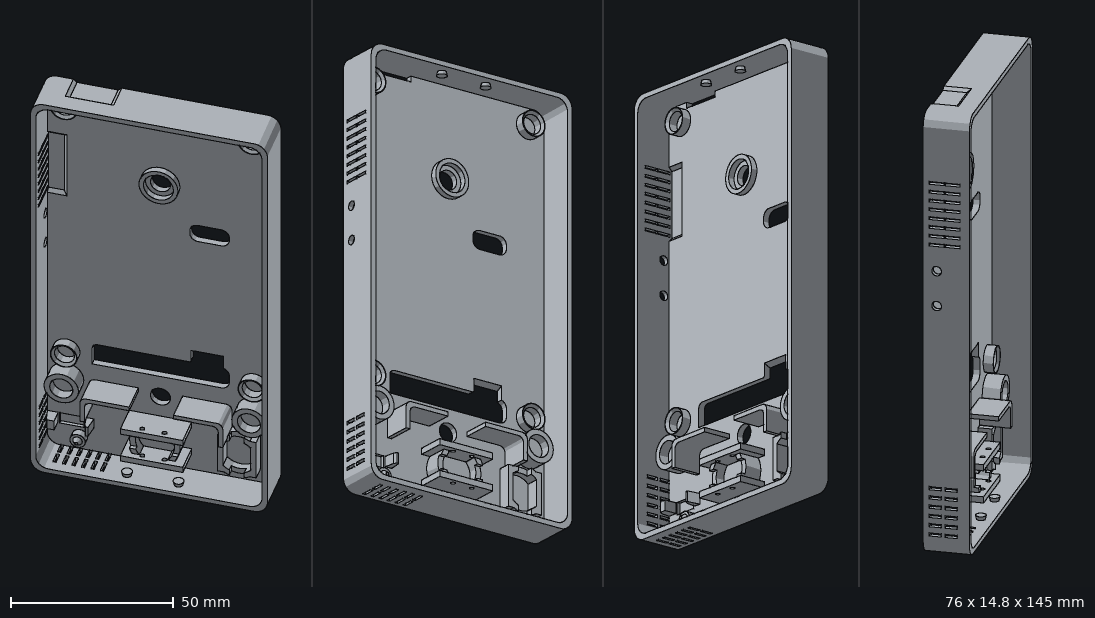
import cadquery as cq
WIDTH, DEPTH, HEIGHT = 76.0, 14.8, 145.0
WALL = 1.7
FLOOR = 2.3
OUTER_RADIUS = 4.4
INNER_RADIUS = 4.0
MOUTH_Y = -DEPTH / 2
BACK_Y = DEPTH / 2
FLOOR_Y = BACK_Y - FLOOR
INNER_X = WIDTH / 2 - WALL
INNER_Z = HEIGHT / 2 - WALL
TOP_Z = HEIGHT / 2

RECESS_BEVEL = 1.2
FLOOR_RECESS_DEPTH = 1.2
FLOOR_RECESS_X = -30.0
FLOOR_RECESS_Z = (27.8, 51.9)
TOP_RECESS_DEPTH = 1.0
TOP_RECESS_X = (-28.5, -13.0)
TOP_RECESS_LENGTH = 8.8

MOUNT_HOLE_DIAMETER = 6.4
MOUNT_HOLE_Z = (39.6, -44.5)
SLOT_X, SLOT_Z = (9.4, 22.0), (19.5, 25.7)
SLOT_RADIUS = 2.6
WINDOW_X, WINDOW_Z = (-21.9, 22.0), (-36.5, -28.7)
WINDOW_RIGHT_RADIUS = 2.6
WINDOW_LEFT_RADIUS = 1.7
KEYWAY_X, KEYWAY_TOP_Z = (9.9, 20.2), -24.0
KEYWAY_SLOPE = 1.2
KEYWAY_CORNER_RADIUS = 0.6
TOP_NOTCH_X, TOP_NOTCH_Z = (-27.7, -14.0), 68.9

CORNER_BOSS_X, CORNER_BOSS_Z = 30.09, (64.7, -32.9)
CORNER_BOSS_DIAMETER, CORNER_BOSS_HEIGHT = 8.5, 3.2
CORNER_MOUTH_DIAMETER, CORNER_BORE_DIAMETER = 8.3, 6.4
CORNER_CONE_DEPTH, CORNER_BORE_DEPTH = 0.9, 3.9
LARGE_BOSS_Z = -43.6
LARGE_BOSS_DIAMETER, LARGE_BOSS_HEIGHT = 11.0, 5.8
LARGE_BOSS_BORE, LARGE_BOSS_BORE_DEPTH = 7.4, 3.5
COLLAR_DIAMETER, COLLAR_BORE, COLLAR_HEIGHT = 12.5, 9.5, 2.2
PIN_X, PIN_Z = -25.8, -65.8
PIN_BASE_DIAMETER, PIN_BASE_HEIGHT = 5.0, 2.6
PIN_DIAMETER, PIN_TIP_DIAMETER, PIN_LENGTH = 3.0, 1.0, 1.5

RIB_X, RIB_TOP_Z, RIB_BOTTOM_Z = (7.1, 22.9), -42.6, -51.8
RIB_THICKNESS, RIB_HEIGHT, RIB_RADIUS = 1.5, 9.9, 2.0

RING_OUTER, RING_INNER = 16.2, 12.5
RING_NOTCH = 4.8
CENTRE_HOLDER_Z = -58.5
CENTRE_RING_HEIGHT, CENTRE_NOTCH_DEPTH, CENTRE_BASE_HEIGHT = 7.4, 1.5, 2.9
PLATE_LENGTH, PLATE_THICKNESS, PLATE_HEIGHT = 20.0, 2.0, 9.5
PLATE_GAP = 8.5
PLATE_HOLE_DIAMETER, PLATE_HOLE_X, PLATE_HOLE_Y = 1.5, 3.55, -2.5
SIDE_HOLDER_X, SIDE_HOLDER_Z = 25.8, -58.8
SIDE_HOLDER_WIDTH, SIDE_HOLDER_LENGTH, SIDE_HOLDER_HEIGHT = 12.5, 13.9, 4.5
SIDE_CAVITY_WIDTH, SIDE_NOTCH_DEPTH = 8.8, 2.2

CLIP_Z = (-61.6, -58.1)
LEFT_CLIP_X, RIGHT_CLIP_X = (-36.18, -32.8), (-23.8, -21.3)
LEFT_CLIP_TAPER, RIGHT_CLIP_TAPER = 0, 0.6
CLIP_HEIGHT, CLIP_SHOULDER_HEIGHT = 4.5, 3.5
CLIP_SHOULDER, CLIP_TIP_INSET = 0.6, 1.2
SEAT_X, SEAT_Z, SEAT_DEPTH = (-32.3, -24.5), (-62.2, -58.1), 1.2

BUMP_X, BUMP_Y = 8.3, -3.2
BUMP_BASE, BUMP_FACE, BUMP_HEIGHT = 2.8, 3.3, 1.3

UPPER_VENT_HEIGHT, LOWER_VENT_HEIGHT = 0.9, 1.0
VENT_BACK_Y = 5.5
VENT_SPLIT_Y = 0.5
UPPER_VENT_LENGTH, UPPER_VENT_COUNT, UPPER_VENT_PITCH = 4.8, 8, 2.9
LOWER_VENT_LENGTH, LOWER_VENT_COUNT, LOWER_VENT_PITCH = 3.9, 6, 3.0
UPPER_VENT_Z, LOWER_VENT_Z = 29.7, -65.7
BOTTOM_VENT_X = -31.5
SIDE_HOLE_DIAMETER, SIDE_HOLE_Y, SIDE_HOLE_Z = 3.0, 3.0, (9.7, 21.2)


def box(x_range, y_range, z_range):
    """Box spanning the given coordinate ranges."""
    size = [high - low for low, high in (x_range, y_range, z_range)]
    corner = cq.Vector(x_range[0], y_range[0], z_range[0])
    return cq.Workplane(cq.Solid.makeBox(*size, corner))


def rod(x, z, diameter, base_y, height):
    """Cylinder standing on the plane Y = base_y and rising toward the mouth."""
    return cq.Workplane(
        cq.Solid.makeCylinder(diameter / 2, height, cq.Vector(x, base_y, z), cq.Vector(0, -1, 0))
    )


def cone(x, z, base_diameter, tip_diameter, base_y, height):
    """Cone frustum standing on the plane Y = base_y and narrowing or widening toward the mouth."""
    base = cq.Vector(x, base_y, z)
    return cq.Workplane(
        cq.Solid.makeCone(base_diameter / 2, tip_diameter / 2, height, base, cq.Vector(0, -1, 0))
    )


def middle(span):
    return (span[0] + span[1]) / 2


def length(span):
    return span[1] - span[0]


def tray():
    outside = cq.Workplane("XZ").rect(WIDTH, HEIGHT).extrude(DEPTH / 2, both=True)
    outside = outside.edges("|Y").fillet(OUTER_RADIUS)
    inside = box((-INNER_X, INNER_X), (MOUTH_Y, FLOOR_Y), (-INNER_Z, INNER_Z))
    return outside.cut(inside.edges("|Y").fillet(INNER_RADIUS))


def floor_recess():
    """Recess against the left wall whose three free sides slope inward."""
    reach = FLOOR_RECESS_X + INNER_X
    pocket = (
        cq.Workplane("XZ", origin=(-INNER_X, FLOOR_Y, middle(FLOOR_RECESS_Z)))
        .rect(2 * reach, length(FLOOR_RECESS_Z))
        .workplane(offset=-FLOOR_RECESS_DEPTH)
        .rect(2 * (reach - RECESS_BEVEL), length(FLOOR_RECESS_Z) - 2 * RECESS_BEVEL)
        .loft(ruled=True)
    )
    inside = box((-INNER_X, 0), (FLOOR_Y, BACK_Y), (-INNER_Z, INNER_Z))
    return pocket.intersect(inside)


def top_recess():
    """Recess in the top wall, open at the back, whose three free sides slope inward."""
    return (
        cq.Workplane("XY", origin=(middle(TOP_RECESS_X), BACK_Y, TOP_Z))
        .rect(length(TOP_RECESS_X), 2 * TOP_RECESS_LENGTH)
        .workplane(offset=-TOP_RECESS_DEPTH)
        .rect(length(TOP_RECESS_X) - 2 * RECESS_BEVEL, 2 * (TOP_RECESS_LENGTH - RECESS_BEVEL))
        .loft(ruled=True)
    )


def floor_openings():
    through = (FLOOR_Y, BACK_Y)
    slot = box(SLOT_X, through, SLOT_Z).edges("|Y").fillet(SLOT_RADIUS)
    window = box(WINDOW_X, through, WINDOW_Z)
    window = window.edges("|Y and >X").fillet(WINDOW_RIGHT_RADIUS)
    window = window.edges("|Y and <X and >Z").fillet(WINDOW_LEFT_RADIUS)
    keyway = (
        cq.Workplane("YZ", origin=(KEYWAY_X[0], 0, 0))
        .moveTo(FLOOR_Y, middle(WINDOW_Z))
        .lineTo(BACK_Y, middle(WINDOW_Z))
        .lineTo(BACK_Y, KEYWAY_TOP_Z - KEYWAY_SLOPE)
        .lineTo(FLOOR_Y, KEYWAY_TOP_Z)
        .close()
        .extrude(length(KEYWAY_X))
    )
    junction = cq.selectors.NearestToPointSelector((KEYWAY_X[0], middle(through), WINDOW_Z[1]))
    window = window.union(keyway).edges("|Y").edges(junction).fillet(KEYWAY_CORNER_RADIUS)
    notch = box(TOP_NOTCH_X, through, (TOP_NOTCH_Z, INNER_Z))
    openings = slot.add(window).add(notch)
    for z in MOUNT_HOLE_Z:
        openings = openings.add(rod(0, z, MOUNT_HOLE_DIAMETER, BACK_Y, FLOOR))
    return openings.combine()


def corner_bore(x, z):
    """Blind bore through a corner boss into the floor, with a conical mouth."""
    front_y = FLOOR_Y - CORNER_BOSS_HEIGHT
    bore = rod(x, z, CORNER_BORE_DIAMETER, front_y + CORNER_BORE_DEPTH, CORNER_BORE_DEPTH)
    mouth_y = front_y + CORNER_CONE_DEPTH
    return bore.union(
        cone(x, z, CORNER_BORE_DIAMETER, CORNER_MOUTH_DIAMETER, mouth_y, CORNER_CONE_DEPTH)
    )


def large_boss(x):
    boss = rod(x, LARGE_BOSS_Z, LARGE_BOSS_DIAMETER, FLOOR_Y, LARGE_BOSS_HEIGHT)
    bore_bottom_y = FLOOR_Y - LARGE_BOSS_HEIGHT + LARGE_BOSS_BORE_DEPTH
    return boss.cut(rod(x, LARGE_BOSS_Z, LARGE_BOSS_BORE, bore_bottom_y, LARGE_BOSS_BORE_DEPTH))


def collar():
    """Ring around the upper mounting hole."""
    z = MOUNT_HOLE_Z[0]
    ring = rod(0, z, COLLAR_DIAMETER, FLOOR_Y, COLLAR_HEIGHT)
    return ring.cut(rod(0, z, COLLAR_BORE, FLOOR_Y, COLLAR_HEIGHT))


def locating_pin():
    base = rod(PIN_X, PIN_Z, PIN_BASE_DIAMETER, FLOOR_Y, PIN_BASE_HEIGHT)
    tip_base_y = FLOOR_Y - PIN_BASE_HEIGHT
    return base.union(cone(PIN_X, PIN_Z, PIN_DIAMETER, PIN_TIP_DIAMETER, tip_base_y, PIN_LENGTH))


def corner_rib():
    rise = (FLOOR_Y - RIB_HEIGHT, FLOOR_Y)
    outside = box(RIB_X, rise, (RIB_BOTTOM_Z, RIB_TOP_Z))
    outside = outside.edges("|Y and >X and >Z").fillet(RIB_RADIUS)
    inside = box(
        (RIB_X[0], RIB_X[1] - RIB_THICKNESS), rise, (RIB_BOTTOM_Z, RIB_TOP_Z - RIB_THICKNESS)
    )
    return outside.cut(inside.edges("|Y and >X and >Z").fillet(RIB_RADIUS))


def centre_holder():
    """Notched ring with a raised bottom, between two upright plates that are pierced by small holes."""
    ring = rod(0, CENTRE_HOLDER_Z, RING_OUTER, FLOOR_Y, CENTRE_RING_HEIGHT)
    cavity_depth = CENTRE_RING_HEIGHT - CENTRE_BASE_HEIGHT
    ring = ring.cut(rod(0, CENTRE_HOLDER_Z, RING_INNER, FLOOR_Y - CENTRE_BASE_HEIGHT, cavity_depth))
    ring_y = FLOOR_Y - CENTRE_RING_HEIGHT
    half_gap = PLATE_GAP / 2
    between = (CENTRE_HOLDER_Z - half_gap, CENTRE_HOLDER_Z + half_gap)
    ring = ring.intersect(box((-RING_OUTER, RING_OUTER), (ring_y, FLOOR_Y), between))
    notch_z = (CENTRE_HOLDER_Z - RING_NOTCH / 2, CENTRE_HOLDER_Z + RING_NOTCH / 2)
    holder = ring.cut(box((-RING_OUTER, RING_OUTER), (ring_y, ring_y + CENTRE_NOTCH_DEPTH), notch_z))

    half_plate = PLATE_LENGTH / 2
    for low_z in (between[0] - PLATE_THICKNESS, between[1]):
        plate_z = (low_z, low_z + PLATE_THICKNESS)
        plate = box((-half_plate, half_plate), (FLOOR_Y - PLATE_HEIGHT, FLOOR_Y), plate_z)
        for x in (-PLATE_HOLE_X, PLATE_HOLE_X):
            hole_base = cq.Vector(x, PLATE_HOLE_Y, low_z)
            plate = plate.cut(
                cq.Workplane(cq.Solid.makeCylinder(PLATE_HOLE_DIAMETER / 2, PLATE_THICKNESS, hole_base))
            )
        holder = holder.union(plate)
    return holder


def side_holder():
    """Block merged with a ring; its flat-sided round cavity has a notch at the top and bottom."""
    half_width, half_length = SIDE_HOLDER_WIDTH / 2, SIDE_HOLDER_LENGTH / 2
    front_y = FLOOR_Y - SIDE_HOLDER_HEIGHT
    rise = (front_y, FLOOR_Y)
    span_z = (SIDE_HOLDER_Z - RING_OUTER, SIDE_HOLDER_Z + RING_OUTER)

    def strip(width, y_range):
        return box((SIDE_HOLDER_X - width / 2, SIDE_HOLDER_X + width / 2), y_range, span_z)

    block = box(
        (SIDE_HOLDER_X - half_width, SIDE_HOLDER_X + half_width),
        rise,
        (SIDE_HOLDER_Z - half_length, SIDE_HOLDER_Z + half_length),
    )
    disc = rod(SIDE_HOLDER_X, SIDE_HOLDER_Z, RING_OUTER, FLOOR_Y, SIDE_HOLDER_HEIGHT)
    cavity = rod(SIDE_HOLDER_X, SIDE_HOLDER_Z, RING_INNER, FLOOR_Y, SIDE_HOLDER_HEIGHT)
    holder = block.union(disc.intersect(strip(SIDE_HOLDER_WIDTH, rise)))
    holder = holder.cut(cavity.intersect(strip(SIDE_CAVITY_WIDTH, rise)))
    return holder.cut(strip(RING_NOTCH, (front_y, front_y + SIDE_NOTCH_DEPTH)))


def clip(x_range, right_taper):
    """Upright tab that leans in on its left side, steeper below the shoulder than above it."""
    left, right = x_range
    tip_y = FLOOR_Y - CLIP_HEIGHT
    return (
        cq.Workplane("XY", origin=(0, 0, CLIP_Z[0]))
        .moveTo(left, FLOOR_Y)
        .lineTo(left + CLIP_SHOULDER, FLOOR_Y - CLIP_SHOULDER_HEIGHT)
        .lineTo(left + CLIP_TIP_INSET, tip_y)
        .lineTo(right - right_taper, tip_y)
        .lineTo(right, FLOOR_Y)
        .close()
        .extrude(length(CLIP_Z))
    )


def snap_bump(x, side):
    """Undercut frustum on the top (side = 1) or bottom (side = -1) wall, pointing inward."""
    base = cq.Vector(x, BUMP_Y, side * INNER_Z)
    inward = cq.Vector(0, 0, -side)
    return cq.Workplane(cq.Solid.makeCone(BUMP_BASE / 2, BUMP_FACE / 2, BUMP_HEIGHT, base, inward))


def vent_pairs(slot_length):
    """Y ranges of the two slots that make up one vent row."""
    return [(back - slot_length, back) for back in (VENT_BACK_Y, VENT_SPLIT_Y)]


def wall_vents():
    left_wall = (-WIDTH / 2, -INNER_X)
    bottom_wall = (-HEIGHT / 2, -INNER_Z)
    upper_half, lower_half = UPPER_VENT_HEIGHT / 2, LOWER_VENT_HEIGHT / 2
    vents = cq.Workplane()
    for y_range in vent_pairs(UPPER_VENT_LENGTH):
        for row in range(UPPER_VENT_COUNT):
            z = UPPER_VENT_Z + row * UPPER_VENT_PITCH
            vents = vents.add(box(left_wall, y_range, (z - upper_half, z + upper_half)))
    for y_range in vent_pairs(LOWER_VENT_LENGTH):
        for row in range(LOWER_VENT_COUNT):
            z = LOWER_VENT_Z + row * LOWER_VENT_PITCH
            vents = vents.add(box(left_wall, y_range, (z - lower_half, z + lower_half)))
            x = BOTTOM_VENT_X + row * LOWER_VENT_PITCH
            vents = vents.add(box((x - lower_half, x + lower_half), y_range, bottom_wall))
    for z in SIDE_HOLE_Z:
        start = cq.Vector(-WIDTH / 2, SIDE_HOLE_Y, z)
        vents = vents.add(
            cq.Workplane(cq.Solid.makeCylinder(SIDE_HOLE_DIAMETER / 2, WALL, start, cq.Vector(1, 0, 0)))
        )
    return vents.combine()


result = tray()

for side_x in (-1, 1):
    for boss_z in CORNER_BOSS_Z:
        boss_x = side_x * CORNER_BOSS_X
        result = result.union(rod(boss_x, boss_z, CORNER_BOSS_DIAMETER, FLOOR_Y, CORNER_BOSS_HEIGHT))
        result = result.cut(corner_bore(boss_x, boss_z))
    result = result.union(large_boss(side_x * CORNER_BOSS_X))
    for side_z in (-1, 1):
        result = result.union(snap_bump(side_x * BUMP_X, side_z))

rib = corner_rib()
result = result.union(rib).union(rib.mirror("YZ"))
result = result.union(collar()).union(locating_pin())
result = result.union(centre_holder()).union(side_holder())
result = result.union(clip(LEFT_CLIP_X, LEFT_CLIP_TAPER)).union(clip(RIGHT_CLIP_X, RIGHT_CLIP_TAPER))

result = result.cut(floor_openings()).cut(floor_recess()).cut(top_recess())
result = result.cut(box(SEAT_X, (FLOOR_Y, FLOOR_Y + SEAT_DEPTH), SEAT_Z))
result = result.cut(wall_vents())